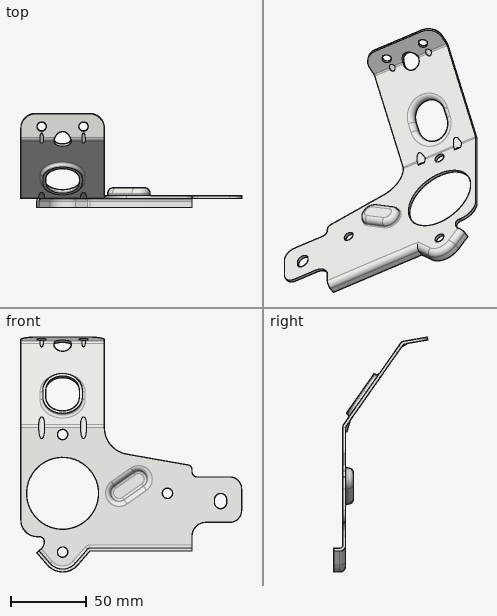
import cadquery as cq
import math

thickness = 2.0

strap_width = 55.4
left_x = -strap_width / 2
strap_x = strap_width / 2
body_right_x = 85.8
arm_right_x = 118.6
arm_bottom_z = -19.3
arm_top_z = 10.9
arm_corner_radius = 8.0
arm_root_radius = 9.0
small_corner_radius = 3.5
shoulder_z = 18.4
shoulder_slope = math.radians(10)
strap_corner_radius = 17.7
body_left_bottom_z = -28.8
body_left_radius = 11.0

bore_diameter = 47.5
small_hole_diameter = 6.7
small_hole_offset = 38.9
side_hole_x = 69.5
arm_slot_x = 104.6
arm_slot_z = -5.1
arm_slot_width = 8.0
arm_slot_height = 10.0

flange_front_y = -6.0
flange_bottom_z = -38.3
flange_bend_radius = 2.0
lobe_radius = 13.2
lobe_z = -small_hole_offset
lobe_slope = math.radians(49)
lobe_tail_length = 10.9
relief_radius = 3.1
relief_x = -15.3

strap_angle = 35
tab_angle = 80
strap_bend_z = 44.7
top_z = 103.5
tab_length = 17.3
outer_bend_radius = 3.6
strap_overlap = 3.1
tab_corner_radius = 10.0
tab_hole_diameter = 6.0
tab_hole_distance = 8.5
bend_hole_diameter = 11.5
bend_hole_drop = 2.0

dart_x = 13.9
dart_wall = 1.5
strap_dart_radius = 2.0
strap_dart_depth = 0.3
strap_dart_angle = 16
tab_dart_radius = 1.17
tab_dart_depth = 0.5
dart_length = 31.1

opening_width = 22.1
opening_straight = 6.0
opening_distance = 24.3
collar_height = 2.8
collar_bend_radius = 1.9

dimple_x = 43.9
dimple_z = 4.8
dimple_angle = math.radians(35)
dimple_straight = 15.7
dimple_inner_radius = 5.6
dimple_depth = 5.3
dimple_mouth_radius = 3.5
dimple_floor_radius = 1.9
dimple_root_radius = 0.6

clearance = 15.5


def along(angle):
    """Direction in (Y, Z) of a sheet leaning back by angle from vertical."""
    return math.sin(math.radians(angle)), math.cos(math.radians(angle))


def inward(angle):
    """Direction in (Y, Z) from the outer face of such a sheet into it."""
    return math.cos(math.radians(angle)), -math.sin(math.radians(angle))


def moved(point, direction, distance):
    return point[0] + distance * direction[0], point[1] + distance * direction[1]


tab_bend_z = top_z - tab_length * along(tab_angle)[1]
strap_length = (tab_bend_z - strap_bend_z) / along(strap_angle)[1]
strap_bend = (0, strap_bend_z)
tab_bend = moved(strap_bend, along(strap_angle), strap_length)
strap_mean_angle = strap_angle / 2
tab_mean_angle = (strap_angle + tab_angle) / 2
strap_start_z = strap_bend_z - outer_bend_radius * math.tan(math.radians(strap_mean_angle))


def sheet_plane(origin, angle, x_direction=(1, 0, 0)):
    """Plane in a leaning sheet at an origin in (Y, Z), with its normal facing outward."""
    inward_y, inward_z = inward(angle)
    return cq.Plane(origin=(0, *origin), xDir=x_direction, normal=(0, -inward_y, -inward_z))


def front_prism(wire, front_y, back_y):
    """Extrude an X-Z outline between two Y positions."""
    return wire.extrude(back_y - front_y).translate((0, back_y, 0))


def round_corner(solid, x, z, radius):
    return solid.edges("|Y").edges(cq.NearestToPointSelector((x, 0, z))).fillet(radius)


lobe_tangent_x = lobe_radius * math.sin(lobe_slope)
lobe_tangent_z = lobe_z - lobe_radius * math.cos(lobe_slope)
lobe_corner_x = lobe_tangent_x + (flange_bottom_z - lobe_tangent_z) / math.tan(lobe_slope)
tail_x = -lobe_tangent_x - lobe_tail_length * math.cos(lobe_slope)
tail_z = lobe_tangent_z + lobe_tail_length * math.sin(lobe_slope)


def tray_region():
    """Area bounded below by the outer face of the flange and generous elsewhere."""
    far_tail_x = tail_x - clearance * math.cos(lobe_slope)
    far_tail_z = tail_z + clearance * math.sin(lobe_slope)
    far_right_x = arm_right_x + clearance
    far_left_x = left_x - clearance
    far_top_z = strap_bend_z + clearance
    return (
        cq.Workplane("XZ")
        .moveTo(far_right_x, flange_bottom_z)
        .lineTo(lobe_corner_x, flange_bottom_z)
        .lineTo(lobe_tangent_x, lobe_tangent_z)
        .threePointArc((0, lobe_z - lobe_radius), (-lobe_tangent_x, lobe_tangent_z))
        .lineTo(far_tail_x, far_tail_z)
        .lineTo(far_left_x, far_tail_z)
        .lineTo(far_left_x, far_top_z)
        .lineTo(far_right_x, far_top_z)
        .close()
    )


def make_tray():
    """Sheet with its lower border bent forward into a flange."""
    outside = (
        front_prism(tray_region(), flange_front_y, thickness)
        .faces(">Y").edges().fillet(flange_bend_radius + thickness)
    )
    inside = front_prism(tray_region().offset2D(-thickness), flange_front_y - thickness, 0)
    inside = inside.faces(">Y").edges().fillet(flange_bend_radius)
    return outside.cut(inside)


def make_outline():
    """Prism over the plate outline that trims the tray."""
    strap_corner_z = shoulder_z + (body_right_x - strap_x) * math.tan(shoulder_slope)
    bend_depth = thickness + flange_bend_radius
    tail_top_x = tail_x + bend_depth * math.sin(lobe_slope)
    tail_top_z = tail_z + bend_depth * math.cos(lobe_slope)
    below_z = lobe_z - lobe_radius - clearance
    outer_tail_x = tail_x - clearance * math.sin(lobe_slope)
    outer_tail_z = tail_z - clearance * math.cos(lobe_slope)
    relief_z = body_left_bottom_z - relief_radius
    relief_mid = relief_radius * math.sqrt(0.5)
    outline = (
        cq.Workplane("XZ")
        .moveTo(left_x, strap_start_z)
        .lineTo(left_x, body_left_bottom_z)
        .lineTo(relief_x, body_left_bottom_z)
        .threePointArc((relief_x + relief_mid, relief_z + relief_mid),
                       (relief_x + relief_radius, relief_z))
        .tangentArcPoint((tail_top_x, tail_top_z), relative=False)
        .lineTo(outer_tail_x, outer_tail_z)
        .lineTo(outer_tail_x, below_z)
        .lineTo(body_right_x, below_z)
        .lineTo(body_right_x, arm_bottom_z)
        .lineTo(arm_right_x, arm_bottom_z)
        .lineTo(arm_right_x, arm_top_z)
        .lineTo(body_right_x, arm_top_z)
        .lineTo(body_right_x, shoulder_z)
        .lineTo(strap_x, strap_corner_z)
        .lineTo(strap_x, strap_start_z)
        .close()
    )
    prism = front_prism(outline, flange_front_y, thickness)
    prism = round_corner(prism, left_x, body_left_bottom_z, body_left_radius)
    prism = round_corner(prism, strap_x, strap_corner_z, strap_corner_radius)
    prism = round_corner(prism, body_right_x, arm_bottom_z, arm_root_radius)
    for z in [arm_bottom_z, arm_top_z]:
        prism = round_corner(prism, arm_right_x, z, arm_corner_radius)
    for z in [arm_top_z, shoulder_z]:
        prism = round_corner(prism, body_right_x, z, small_corner_radius)
    return prism


def plate_holes():
    bore = cq.Workplane("XZ").circle(bore_diameter / 2)
    small = (
        cq.Workplane("XZ")
        .pushPoints([(0, small_hole_offset), (0, -small_hole_offset), (side_hole_x, 0)])
        .circle(small_hole_diameter / 2)
    )
    slot = cq.Workplane("XZ").center(arm_slot_x, arm_slot_z).slot2D(arm_slot_height, arm_slot_width, 90)
    cutters = [wire.extrude(thickness, both=True) for wire in (bore, small, slot)]
    return cutters[0].union(cutters[1]).union(cutters[2])


def inner_bends(depth):
    """Corners of the strap bend and the tab bend at a depth below the outer face."""
    strap_mitre = depth / math.cos(math.radians(strap_mean_angle))
    tab_mitre = depth / math.cos(math.radians((tab_angle - strap_angle) / 2))
    return (
        moved(strap_bend, inward(strap_mean_angle), strap_mitre),
        moved(tab_bend, inward(tab_mean_angle), tab_mitre),
    )


def round_bend(solid, bend, radius):
    return solid.edges("|X").edges(cq.NearestToPointSelector((0, *bend))).fillet(radius)


def strap_blank(depth):
    """Bent strip of strap width reaching from the outer face to the given depth."""
    tab_end = moved(tab_bend, along(tab_angle), tab_length)
    strap_inner, tab_inner = inner_bends(depth)
    points = [
        (0, strap_start_z - strap_overlap),
        strap_bend,
        tab_bend,
        tab_end,
        moved(tab_end, inward(tab_angle), depth),
        tab_inner,
        strap_inner,
        (depth, strap_start_z - strap_overlap),
    ]
    blank = cq.Workplane("YZ").polyline(points).close().extrude(strap_width / 2, both=True)
    for bend in [strap_bend, tab_bend]:
        blank = round_bend(blank, bend, outer_bend_radius)
    return blank


def make_strap():
    strap = strap_blank(thickness)
    strap_inner, tab_inner = inner_bends(thickness)
    for bend in [strap_inner, tab_inner]:
        strap = round_bend(strap, bend, outer_bend_radius - thickness)
    tab_end = moved(tab_bend, along(tab_angle), tab_length)
    end_middle = moved(tab_end, inward(tab_angle), thickness / 2)
    for x in [left_x, strap_x]:
        corner = cq.NearestToPointSelector((x, *end_middle))
        strap = strap.edges(corner).fillet(tab_corner_radius)
    return strap


def strap_holes():
    tab_holes = (
        cq.Workplane(sheet_plane(tab_bend, tab_angle))
        .pushPoints([(-dart_x, tab_hole_distance), (dart_x, tab_hole_distance)])
        .circle(tab_hole_diameter / 2)
        .extrude(2 * thickness, both=True)
    )
    bend_hole = (
        cq.Workplane(sheet_plane(tab_bend, strap_angle))
        .center(0, -bend_hole_drop)
        .circle(bend_hole_diameter / 2)
        .extrude(clearance / 2, both=True)
    )
    return tab_holes.union(bend_hole)


def add_darts(solid, bend, angle, radius, depth):
    """Press a pair of round darts inward across a bend."""
    center = moved(bend, inward(angle), depth)
    axis = along(angle)
    backing = strap_blank(thickness + clearance / 2)
    for x in [-dart_x, dart_x]:
        start = (x, *moved(center, axis, -dart_length / 2))
        base = cq.Workplane(cq.Plane(origin=start, xDir=(1, 0, 0), normal=(0, *axis)))
        rib = base.circle(radius + dart_wall).extrude(dart_length)
        groove = base.circle(radius).extrude(dart_length)
        solid = solid.union(rib.intersect(backing)).cut(groove)
    return solid


def long_round(profile, straight):
    """Turn a profile of (radius, height) into a solid with round ends and a straight middle."""
    end = profile(cq.Workplane("XZ")).revolve(360, (0, 0), (0, 1))
    half = profile(cq.Workplane("YZ")).extrude(straight / 2, both=True)
    middle = half.union(half.mirror("XZ"))
    return (
        middle
        .union(end.translate((straight / 2, 0, 0)))
        .union(end.translate((-straight / 2, 0, 0)))
    )


def arc_point(center, radius, angle):
    """Point of a profile arc, at an angle in degrees around its centre."""
    return (
        center[0] + radius * math.cos(math.radians(angle)),
        center[1] + radius * math.sin(math.radians(angle)),
    )


def drawn_outside(wall_radius, height, root_radius, top_radius):
    """Profile of the raised side; height 0 is the sheet face that was pressed."""
    def profile(work):
        root_center = (wall_radius + root_radius, thickness + root_radius)
        top_center = (wall_radius - top_radius, height - top_radius)
        work = (
            work.lineTo(wall_radius + root_radius, 0)
            .lineTo(wall_radius + root_radius, thickness)
            .threePointArc(arc_point(root_center, root_radius, 225), (wall_radius, thickness + root_radius))
            .lineTo(wall_radius, height - top_radius)
        )
        if top_radius > 0:
            work = work.threePointArc(arc_point(top_center, top_radius, 45), (top_center[0], height))
        return work.lineTo(0, height).close()
    return profile


def drawn_inside(wall_radius, depth, mouth_radius, floor_radius):
    """Profile of the hollow, widening at the pressed face."""
    def profile(work):
        mouth_center = (wall_radius + mouth_radius, mouth_radius)
        floor_center = (wall_radius - floor_radius, depth - floor_radius)
        work = (
            work.lineTo(wall_radius + mouth_radius, 0)
            .threePointArc(arc_point(mouth_center, mouth_radius, 225), (wall_radius, mouth_radius))
        )
        if depth - floor_radius > mouth_radius:
            work = work.lineTo(wall_radius, depth - floor_radius)
        if floor_radius > 0:
            work = work.threePointArc(arc_point(floor_center, floor_radius, 45), (floor_center[0], depth))
        return work.lineTo(0, depth).close()
    return profile


def add_drawn(solid, plane, straight, outside, inside):
    place = cq.Location(plane)
    raised = long_round(outside, straight).val().located(place)
    hollow = long_round(inside, straight).val().located(place)
    return solid.union(cq.Workplane(raised)).cut(cq.Workplane(hollow))


def add_collar(solid):
    center = moved(strap_bend, along(strap_angle), opening_distance)
    pressed_center = moved(center, inward(strap_angle), thickness)
    plane = sheet_plane(pressed_center, strap_angle, (0, *along(strap_angle)))
    inner_radius = opening_width / 2
    height = thickness + collar_height
    outside = drawn_outside(inner_radius + thickness, height, collar_bend_radius, 0)
    inside = drawn_inside(inner_radius, height, collar_bend_radius + thickness, 0)
    return add_drawn(solid, plane, opening_straight, outside, inside)


def add_dimple(solid):
    long_axis = (math.cos(dimple_angle), 0, math.sin(dimple_angle))
    plane = cq.Plane(origin=(dimple_x, 0, dimple_z), xDir=long_axis, normal=(0, 1, 0))
    outside = drawn_outside(
        dimple_inner_radius + thickness,
        dimple_depth + thickness,
        dimple_root_radius,
        dimple_floor_radius + thickness,
    )
    inside = drawn_inside(dimple_inner_radius, dimple_depth, dimple_mouth_radius, dimple_floor_radius)
    return add_drawn(solid, plane, dimple_straight, outside, inside)


plate = make_tray().intersect(make_outline())
bracket = plate.union(make_strap())
bracket = add_darts(bracket, strap_bend, strap_dart_angle, strap_dart_radius, strap_dart_depth)
bracket = add_darts(bracket, tab_bend, tab_mean_angle, tab_dart_radius, tab_dart_depth)
bracket = bracket.cut(plate_holes()).cut(strap_holes())
bracket = add_collar(bracket)
result = add_dimple(bracket)